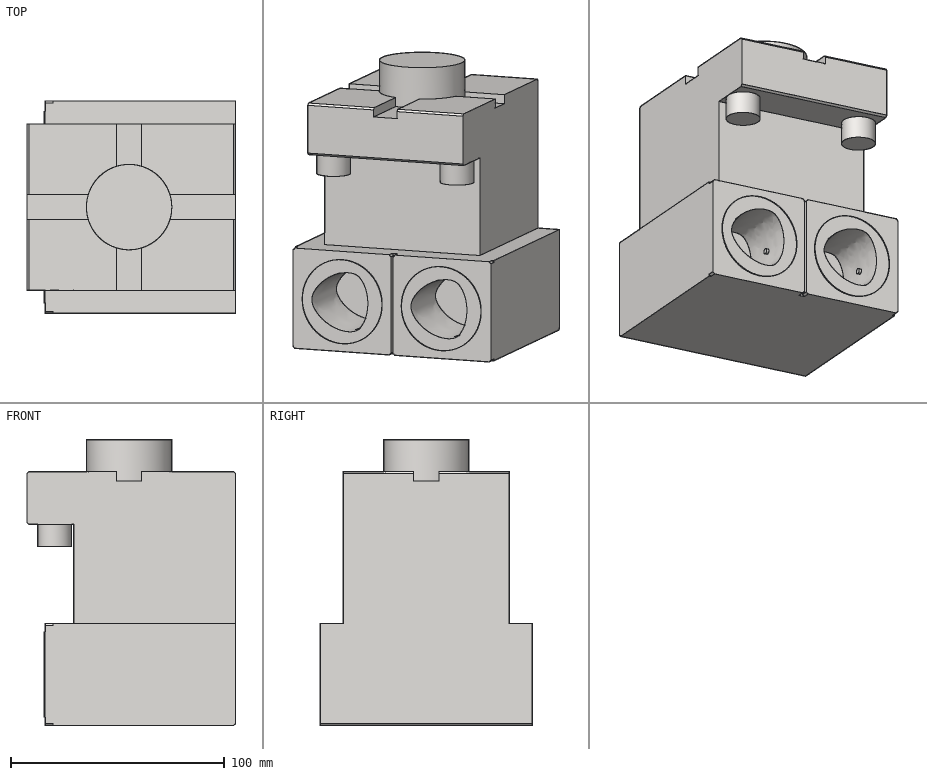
import cadquery as cq
import math

length = 98.0
base_width = 99.5
base_height = 47.8
base_front = 12.2
edge_chamfer = 1.0

plate_front = 8.6
plate_gap = 1.0
socket_spacing = base_width / 2

flange_diameter = 40.0
flange_projection = 0.5
socket_radius = 14.1
lobe_height = 1.1
socket_depth = 30.0
socket_taper = 1 / 40
curve_points = 48

pin_diameter = 2.5
pin_tip_offset = 11.4
pin_length = 3.4

body_width = 78.0
body_top = 119.0
body_front = 22.0
overhang_bottom = 94.3

groove_width = 11.8
groove_depth = 4.3
cylinder_diameter = 40.0
cylinder_x = 48.0
total_height = 134.0

screw_diameter = 16.0
screw_x = 13.0
screw_bottom = 83.9


def box(x_min, x_max, width, z_min, z_max, y_center=0):
    """Box spanning the given X and Z limits, centred on y_center."""
    return (
        cq.Workplane("XY")
        .box(x_max - x_min, width, z_max - z_min, centered=(False, True, False))
        .translate((x_min, y_center, z_min))
    )


def cylinder_up(diameter, x, y, z_min, z_max):
    """Vertical cylinder between two heights."""
    return (
        cq.Workplane("XY", origin=(x, y, z_min))
        .circle(diameter / 2)
        .extrude(z_max - z_min)
    )


def socket_wire(x, y_center, mean_radius):
    """Closed three-lobed curve in a plane of constant X, one lobe toward +Y."""
    points = []
    for i in range(curve_points):
        angle = 2 * math.pi * i / curve_points
        support = mean_radius + lobe_height * math.cos(3 * angle)
        slope = -3 * lobe_height * math.sin(3 * angle)
        y = support * math.cos(angle) - slope * math.sin(angle)
        z = support * math.sin(angle) + slope * math.cos(angle)
        points.append(cq.Vector(x, y_center + y, base_height / 2 + z))
    return cq.Wire.assembleEdges([cq.Edge.makeSpline(points, periodic=True)])


def socket(y_center):
    """Tapered three-lobed recess, narrowing away from the flange face."""
    mouth_x = plate_front - flange_projection
    inner_radius = socket_radius - socket_depth * socket_taper
    mouth = socket_wire(mouth_x, y_center, socket_radius)
    floor = socket_wire(mouth_x + socket_depth, y_center, inner_radius)
    return cq.Workplane(cq.Solid.makeLoft([mouth, floor]))


def locating_pin(y_center):
    """Pin along Y at half depth, reaching from inside the wall into the socket."""
    pin_x = plate_front - flange_projection + socket_depth / 2
    return (
        cq.Workplane("XZ", origin=(pin_x, y_center - pin_tip_offset, base_height / 2))
        .circle(pin_diameter / 2)
        .extrude(pin_length)
    )


def flange(y_center):
    """Shallow round face around a socket."""
    return (
        cq.Workplane("YZ", origin=(plate_front - flange_projection, y_center, base_height / 2))
        .circle(flange_diameter / 2)
        .extrude(flange_projection)
    )


def front_plate(side):
    """Plate with chamfered long edges, on the given side of the middle gap."""
    plate_width = (base_width - plate_gap) / 2
    y_center = side * (plate_gap + plate_width) / 2
    plate = box(plate_front, base_front, plate_width, 0, base_height, y_center)
    return plate.edges("|X").chamfer(edge_chamfer)


def upper_body():
    """Body and overhang with chamfered edges and two crossing top grooves."""
    body = box(body_front, length, body_width, base_height, body_top)
    overhang = box(0, body_front, body_width, overhang_bottom, body_top)
    body = body.union(overhang).clean()
    body = body.edges("|Y and (<X or >Z)").chamfer(edge_chamfer)
    groove_bottom = body_top - groove_depth
    along_x = box(0, length, groove_width, groove_bottom, body_top)
    along_y = box(
        cylinder_x - groove_width / 2,
        cylinder_x + groove_width / 2,
        body_width,
        groove_bottom,
        body_top,
    )
    return body.cut(along_x).cut(along_y)


base = box(base_front, length, base_width, 0, base_height)
base = base.edges("|Y and >X and <Z").chamfer(edge_chamfer)

result = base.union(upper_body())
clamp_bottom = body_top - groove_depth
result = result.union(cylinder_up(cylinder_diameter, cylinder_x, 0, clamp_bottom, total_height))

for side in (-1, 1):
    screw_y = side * (body_width - screw_diameter) / 2
    result = result.union(cylinder_up(screw_diameter, screw_x, screw_y, screw_bottom, overhang_bottom))
    result = result.union(front_plate(side))

for side in (-1, 1):
    socket_y = side * socket_spacing / 2
    result = result.union(flange(socket_y)).cut(socket(socket_y))
    result = result.union(locating_pin(socket_y))